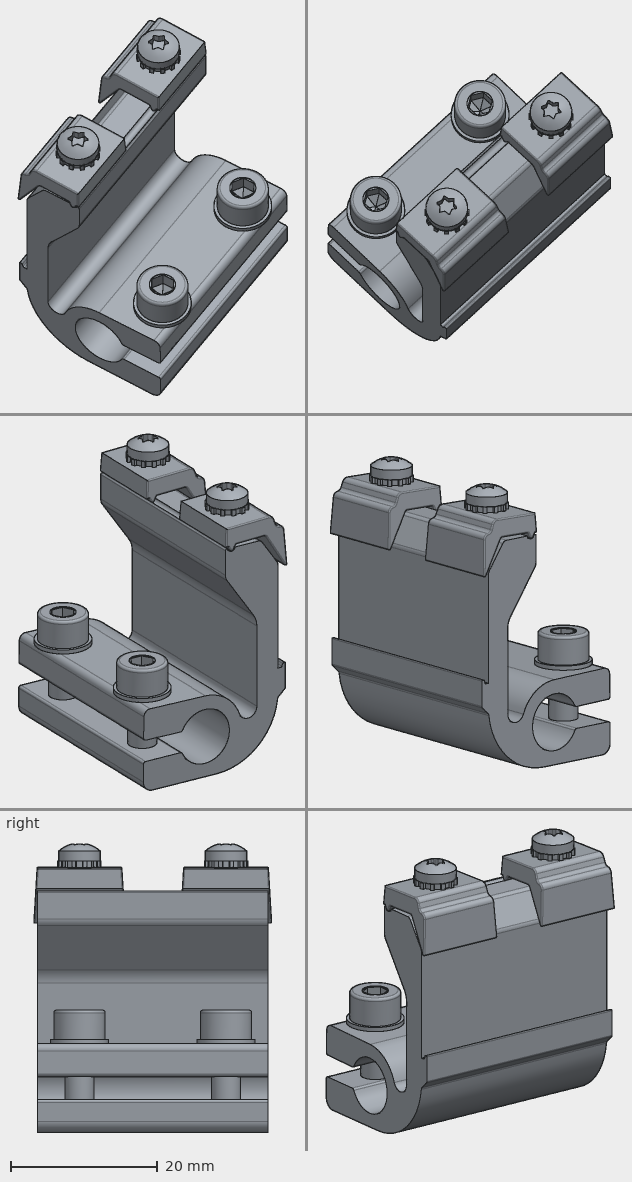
import cadquery as cq
import math

OVERRUN = 1.0

BAR_LENGTH = 31.5
BACK_X = 1.2
WEB_FRONT_X = 4.65
HEAD_FRONT_X = 9.75
BAR_TOP_Z = 33.0
SLOPE_TAN = math.tan(math.radians(55))
FRONT_SLOPE_Z = 21.4
BACK_SLOPE_Z = 29.0
HEEL_RADIUS = 10.0
WEB_BEND_RADIUS = 3.0
HEAD_BEND_RADIUS = 1.5
TOP_FRONT_RADIUS = 0.2
TOP_BACK_RADIUS = 0.8
BACK_BEND_RADIUS = 1.0
NIB_GROOVE_X = 8.78
NIB_GROOVE_RADIUS = 0.6
NIB_GROOVE_DEPTH = 0.5

BORE_X = 13.1
BORE_RADIUS = 4.0
BOSS_RADIUS = 6.0
BORE_Z = BOSS_RADIUS
JAW_END_X = 23.05
JAW_TILT = math.radians(1.0)
HALF_SLOT = 1.5
LOWER_JAW_RADIUS = 1.5
UPPER_JAW_RADIUS = 1.0
SLOT_END_RADIUS = 0.35
SLOT_MOUTH_RADIUS = 0.4
VALLEY_RADIUS = 1.45

HOOK_TOP_Z = 14.0
HOOK_TIP_WIDTH = 0.4
HOOK_TIP_FRONT_RADIUS = 0.15
HOOK_TIP_BACK_RADIUS = 0.1
HOOK_GROOVE_RADIUS = 0.2
HOOK_BOTTOM_RADIUS = 0.3
HOOK_FOOT_RADIUS = 0.5
HOOK_GROOVE_WIDTH = 0.55
HOOK_GROOVE_DEPTH = 0.6
HOOK_BOTTOM_Z = 10.2
HOOK_FOOT_SLOPE = 0.95

STATION_Y = 10.0

CAP_SCREW_X = 19.55
CAP_SHANK_RADIUS = 2.0
CAP_SHANK_BOTTOM_Z = 3.0
CAP_HEAD_RADIUS = 3.5
CAP_HEAD_HEIGHT = 4.0
CAP_EDGE_RADIUS = 0.4
HEX_CORNER_RADIUS = 1.73
HEX_MOUTH_RADIUS = 1.78
HEX_MOUTH_DEPTH = 0.1
HEX_DEPTH = 2.0
HEX_POINT_DEPTH = 0.9
HEX_POINT_RADIUS = 0.02
WASHER_RADIUS = 3.95
WASHER_BOTTOM_Z = 12.15
WASHER_TOP_Z = 12.75

CLIP_TIP_Z = 28.6
CLIP_TIP_WIDTH = 0.32
CLIP_SHOULDER = (0.34, 34.5)
CLIP_SHELF_END = (1.45, 34.5)
CLIP_TOP_BACK = (2.1, 36.26)
CLIP_TOP_FRONT = (9.6, 36.0)
CLIP_FRONT_BOTTOM = (9.75, 33.3)
CLIP_NIB_FRONT = (9.4, 33.3)
CLIP_NIB_BOTTOM = (8.78, 32.3)
CLIP_NIB_BACK = (8.15, 33.45)
CLIP_INNER = (3.35, 33.6)
CLIP_TIP_RADIUS = 0.15
CLIP_SHOULDER_RADIUS = 0.8
CLIP_STEP_RADIUS = 0.7
CLIP_TOP_RADIUS = 0.9
CLIP_NIB_RADIUS = 0.3
CLIP_NIB_ROOT_RADIUS = 0.2
CLIP_INNER_RADIUS = 0.5
CLIP_TIP_HALF_WIDTH = 6.245
CLIP_DRAFT_TAN = math.tan(math.radians(3.4))
CLIP_HEIGHT = CLIP_TOP_BACK[1] - CLIP_TIP_Z
CLIP_END_FILLET = 0.18

TORX_X = 5.77
TORX_SHANK_RADIUS = 1.55
TORX_SHANK_BOTTOM_Z = 27.0
TORX_HEAD_RADIUS = 2.85
TORX_HEAD_BOTTOM_Z = 37.09
TORX_RIM_Z = 38.46
TORX_TOP_Z = 39.54
STAR_TIP_RADIUS = 1.45
STAR_VALLEY_RADIUS = 0.95
STAR_LOBES = 6
STAR_FILLET = 0.12
STAR_DEPTH = 1.3
LOCK_BOTTOM_Z = 36.22
LOCK_RING_RADIUS = 2.6
LOCK_TOOTH_RADIUS = 3.0
LOCK_TOOTH_WIDTH = 0.55
LOCK_TEETH = 12


def tilted(x, z):
    """Turn a point of the upper jaw about the bore axis by the jaw tilt."""
    dx = x - BORE_X
    dz = z - BORE_Z
    return (
        BORE_X + dx * math.cos(JAW_TILT) - dz * math.sin(JAW_TILT),
        BORE_Z + dx * math.sin(JAW_TILT) + dz * math.cos(JAW_TILT),
    )


def extrude_y(profile, length):
    """Extrude an XZ profile by a length centred on Y = 0."""
    return profile.extrude(length / 2, both=True)


def round_corners(body, corners):
    """Fillet the edges along Y nearest to each (x, z), given as (x, z, radius)."""
    for x, z, radius in corners:
        nearest = cq.selectors.NearestToPointSelector((x, 0, z))
        body = body.edges("|Y").edges(nearest).fillet(radius)
    return body


def post(x, y, bottom_z, top_z, radius):
    """Upright cylinder between two heights."""
    return cq.Workplane("XY", origin=(x, y, bottom_z)).circle(radius).extrude(top_z - bottom_z)


def bar_blank():
    """Solid bar with its web, head, boss and jaws, before the bore and slot."""
    boss_reach = BOSS_RADIUS + VALLEY_RADIUS
    valley_x = WEB_FRONT_X + VALLEY_RADIUS
    valley_angle = math.acos((BORE_X - valley_x) / boss_reach)
    valley_z = BORE_Z + boss_reach * math.sin(valley_angle)
    valley_end = (
        BORE_X - BOSS_RADIUS * math.cos(valley_angle),
        BORE_Z + BOSS_RADIUS * math.sin(valley_angle),
    )
    arc_mid_angle = (valley_angle + math.pi / 2) / 2
    boss_top = tilted(BORE_X, BORE_Z + BOSS_RADIUS)
    boss_mid = (
        BORE_X - BOSS_RADIUS * math.cos(arc_mid_angle),
        BORE_Z + BOSS_RADIUS * math.sin(arc_mid_angle),
    )
    front_slope_top = FRONT_SLOPE_Z + (HEAD_FRONT_X - WEB_FRONT_X) * SLOPE_TAN
    top_back_x = BACK_X + (BAR_TOP_Z - BACK_SLOPE_Z) / SLOPE_TAN

    outline = (
        cq.Workplane("XZ")
        .moveTo(BACK_X, 0)
        .lineTo(JAW_END_X, 0)
        .lineTo(JAW_END_X, BORE_Z)
        .lineTo(*tilted(JAW_END_X, BORE_Z + BOSS_RADIUS))
        .lineTo(*boss_top)
        .threePointArc(boss_mid, valley_end)
        .threePointArc((valley_x, valley_z - VALLEY_RADIUS), (WEB_FRONT_X, valley_z))
        .lineTo(WEB_FRONT_X, FRONT_SLOPE_Z)
        .lineTo(HEAD_FRONT_X, front_slope_top)
        .lineTo(HEAD_FRONT_X, BAR_TOP_Z)
        .lineTo(top_back_x, BAR_TOP_Z)
        .lineTo(BACK_X, BACK_SLOPE_Z)
        .close()
    )
    corners = [
        (BACK_X, 0, HEEL_RADIUS),
        (JAW_END_X, 0, LOWER_JAW_RADIUS),
        (*tilted(JAW_END_X, BORE_Z + BOSS_RADIUS), UPPER_JAW_RADIUS),
        (WEB_FRONT_X, FRONT_SLOPE_Z, WEB_BEND_RADIUS),
        (HEAD_FRONT_X, front_slope_top, HEAD_BEND_RADIUS),
        (HEAD_FRONT_X, BAR_TOP_Z, TOP_FRONT_RADIUS),
        (top_back_x, BAR_TOP_Z, TOP_BACK_RADIUS),
        (BACK_X, BACK_SLOPE_Z, BACK_BEND_RADIUS),
    ]
    return round_corners(extrude_y(outline, BAR_LENGTH), corners)


def tube_cut(bar):
    """Bore, and the slot that opens it between the two jaws."""
    bore = extrude_y(cq.Workplane("XZ").center(BORE_X, BORE_Z).circle(BORE_RADIUS), BAR_LENGTH)
    slot_bottom = BORE_Z - HALF_SLOT
    slot_top = BORE_Z + HALF_SLOT
    slot_end_x = JAW_END_X + OVERRUN
    slot = cq.Workplane("XZ").polyline([
        (BORE_X, slot_bottom),
        (slot_end_x, slot_bottom),
        tilted(slot_end_x, slot_top),
        tilted(BORE_X, slot_top),
    ]).close()
    bar = bar.cut(bore).cut(extrude_y(slot, BAR_LENGTH))
    mouth_x = BORE_X + math.sqrt(BORE_RADIUS**2 - HALF_SLOT**2)
    return round_corners(bar, [
        (JAW_END_X, slot_bottom, SLOT_END_RADIUS),
        (*tilted(JAW_END_X, slot_top), SLOT_END_RADIUS),
        (mouth_x, slot_bottom, SLOT_MOUTH_RADIUS),
        (*tilted(mouth_x, slot_top), SLOT_MOUTH_RADIUS),
    ])


def latch_hook():
    groove_z = HOOK_TOP_Z - HOOK_GROOVE_DEPTH
    groove_x = BACK_X - HOOK_GROOVE_WIDTH
    root_x = BACK_X + OVERRUN
    outline = cq.Workplane("XZ").polyline([
        (root_x, groove_z),
        (groove_x, groove_z),
        (HOOK_TIP_WIDTH, HOOK_TOP_Z),
        (0, HOOK_TOP_Z),
        (0, HOOK_BOTTOM_Z),
        (root_x, HOOK_BOTTOM_Z - root_x * HOOK_FOOT_SLOPE),
    ]).close()
    return round_corners(extrude_y(outline, BAR_LENGTH), [
        (groove_x, groove_z, HOOK_GROOVE_RADIUS),
        (HOOK_TIP_WIDTH, HOOK_TOP_Z, HOOK_TIP_FRONT_RADIUS),
        (0, HOOK_TOP_Z, HOOK_TIP_BACK_RADIUS),
        (0, HOOK_BOTTOM_Z, HOOK_BOTTOM_RADIUS),
    ])


def nib_groove():
    axis_z = BAR_TOP_Z + NIB_GROOVE_RADIUS - NIB_GROOVE_DEPTH
    circle = cq.Workplane("XZ").center(NIB_GROOVE_X, axis_z).circle(NIB_GROOVE_RADIUS)
    return extrude_y(circle, BAR_LENGTH)


def cap_screw(y):
    """Socket-head screw with its washer."""
    head_top = WASHER_TOP_Z + CAP_HEAD_HEIGHT
    socket_bottom = head_top - HEX_DEPTH
    head = post(CAP_SCREW_X, y, WASHER_TOP_Z, head_top, CAP_HEAD_RADIUS)
    head = head.faces(">Z").edges().fillet(CAP_EDGE_RADIUS)
    socket_floor = cq.Workplane("XY", origin=(CAP_SCREW_X, y, socket_bottom))
    socket = socket_floor.polygon(6, 2 * HEX_CORNER_RADIUS).extrude(HEX_DEPTH)
    point = (
        socket_floor.polygon(6, 2 * HEX_CORNER_RADIUS)
        .workplane(offset=-HEX_POINT_DEPTH)
        .polygon(6, 2 * HEX_POINT_RADIUS)
        .loft()
    )
    mouth = post(CAP_SCREW_X, y, head_top - HEX_MOUTH_DEPTH, head_top, HEX_MOUTH_RADIUS)
    washer = post(CAP_SCREW_X, y, WASHER_BOTTOM_Z, WASHER_TOP_Z, WASHER_RADIUS)
    shank = post(CAP_SCREW_X, y, CAP_SHANK_BOTTOM_Z, WASHER_TOP_Z, CAP_SHANK_RADIUS)
    return head.cut(socket).cut(point).cut(mouth).union(washer).union(shank)


def clip(y):
    """Drafted clip that hooks over the head of the bar."""
    outline = cq.Workplane("XZ").polyline([
        (0, CLIP_TIP_Z),
        CLIP_SHOULDER,
        CLIP_SHELF_END,
        CLIP_TOP_BACK,
        CLIP_TOP_FRONT,
        CLIP_FRONT_BOTTOM,
        CLIP_NIB_FRONT,
        CLIP_NIB_BOTTOM,
        CLIP_NIB_BACK,
        CLIP_INNER,
        (CLIP_TIP_WIDTH, CLIP_TIP_Z),
    ]).close()
    body = round_corners(extrude_y(outline, 2 * CLIP_TIP_HALF_WIDTH), [
        (0, CLIP_TIP_Z, CLIP_TIP_RADIUS),
        (*CLIP_SHOULDER, CLIP_SHOULDER_RADIUS),
        (*CLIP_SHELF_END, CLIP_STEP_RADIUS),
        (*CLIP_TOP_BACK, CLIP_TOP_RADIUS),
        (*CLIP_NIB_BOTTOM, CLIP_NIB_RADIUS),
        (*CLIP_NIB_BACK, CLIP_NIB_ROOT_RADIUS),
        (*CLIP_INNER, CLIP_INNER_RADIUS),
    ])
    top_half_width = CLIP_TIP_HALF_WIDTH - CLIP_HEIGHT * CLIP_DRAFT_TAN
    top_z = CLIP_TIP_Z + CLIP_HEIGHT
    side_outline = cq.Workplane("YZ").polyline([
        (-CLIP_TIP_HALF_WIDTH, CLIP_TIP_Z),
        (CLIP_TIP_HALF_WIDTH, CLIP_TIP_Z),
        (top_half_width, top_z),
        (-top_half_width, top_z),
    ]).close()
    body = body.intersect(side_outline.extrude(CLIP_FRONT_BOTTOM[0]))
    body = body.faces("<Y or >Y").edges().fillet(CLIP_END_FILLET)
    return body.translate((0, y, 0))


def lock_washer(y):
    """Ring with square teeth around its rim."""
    ring = post(TORX_X, y, LOCK_BOTTOM_Z, TORX_HEAD_BOTTOM_Z, LOCK_RING_RADIUS)
    pitch = 360 / LOCK_TEETH
    teeth = (
        cq.Workplane("XY", origin=(TORX_X, y, LOCK_BOTTOM_Z))
        .polarArray(LOCK_TOOTH_RADIUS / 2, pitch / 2, 360, LOCK_TEETH)
        .rect(LOCK_TOOTH_RADIUS, LOCK_TOOTH_WIDTH)
        .extrude(TORX_HEAD_BOTTOM_Z - LOCK_BOTTOM_Z)
    )
    return ring.union(teeth)


def star_recess(y):
    corners = []
    for i in range(2 * STAR_LOBES):
        radius = STAR_VALLEY_RADIUS if i % 2 == 0 else STAR_TIP_RADIUS
        angle = math.pi * i / STAR_LOBES
        corners.append((radius * math.cos(angle), radius * math.sin(angle)))
    star = cq.Workplane("XY", origin=(TORX_X, y, TORX_TOP_Z - STAR_DEPTH)).polyline(corners).close()
    return star.extrude(STAR_DEPTH).edges("|Z").fillet(STAR_FILLET)


def torx_screw(y):
    """Domed screw with a star recess."""
    dome_height = TORX_TOP_Z - TORX_RIM_Z
    dome_radius = (TORX_HEAD_RADIUS**2 + dome_height**2) / (2 * dome_height)
    dome = cq.Workplane("XY", origin=(TORX_X, y, TORX_TOP_Z - dome_radius)).sphere(dome_radius)
    head = post(TORX_X, y, TORX_HEAD_BOTTOM_Z, TORX_TOP_Z, TORX_HEAD_RADIUS).intersect(dome)
    shank = post(TORX_X, y, TORX_SHANK_BOTTOM_Z, TORX_HEAD_BOTTOM_Z, TORX_SHANK_RADIUS)
    return head.cut(star_recess(y)).union(shank)


def clip_set(y):
    """Clip held by its screw and lock washer."""
    return clip(y).union(lock_washer(y)).union(torx_screw(y))


bar = tube_cut(bar_blank()).union(latch_hook()).cut(nib_groove())
bar = round_corners(bar, [(BACK_X, HOOK_BOTTOM_Z - BACK_X * HOOK_FOOT_SLOPE, HOOK_FOOT_RADIUS)])
for station in (-STATION_Y, STATION_Y):
    bar = bar.union(cap_screw(station))

loose_clip = clip_set(-STATION_Y)
clamp = bar.union(clip_set(STATION_Y)).cut(loose_clip)

result = cq.Compound.makeCompound([clamp.val(), loose_clip.val()])